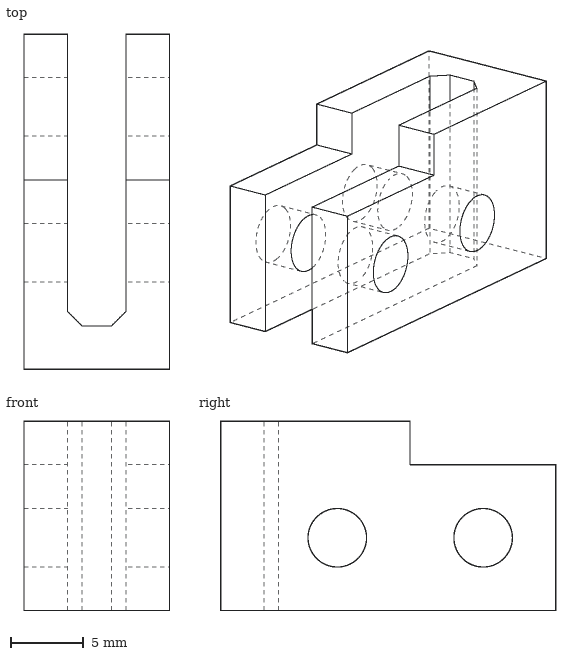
import cadquery as cq

width = 10.0
length = 23.0
height = 13.0

step_length = 10.0
step_drop = 3.0

slot_width = 4.0
end_wall = 3.0
slot_chamfer = 1.0

hole_diameter = 4.0
hole_height = 5.0
first_hole_from_open_end = 5.0
hole_spacing = 10.0
hole_count = 2


def make_stepped_block():
    step_y = length - step_length
    step_z = height - step_drop
    profile = [
        (0, 0),
        (length, 0),
        (length, step_z),
        (step_y, step_z),
        (step_y, height),
        (0, height),
    ]
    return cq.Workplane("YZ").polyline(profile).close().extrude(width / 2, both=True)


def make_slot():
    slot_length = length - end_wall
    return (
        cq.Workplane("XY")
        .box(slot_width, slot_length, height, centered=(True, False, False))
        .edges("|Z and <Y")
        .chamfer(slot_chamfer)
        .translate((0, end_wall, 0))
    )


def make_cross_holes():
    centers = [
        (length - first_hole_from_open_end - i * hole_spacing, hole_height)
        for i in range(hole_count)
    ]
    return (
        cq.Workplane("YZ")
        .pushPoints(centers)
        .circle(hole_diameter / 2)
        .extrude(width / 2, both=True)
    )


result = make_stepped_block().cut(make_slot()).cut(make_cross_holes())